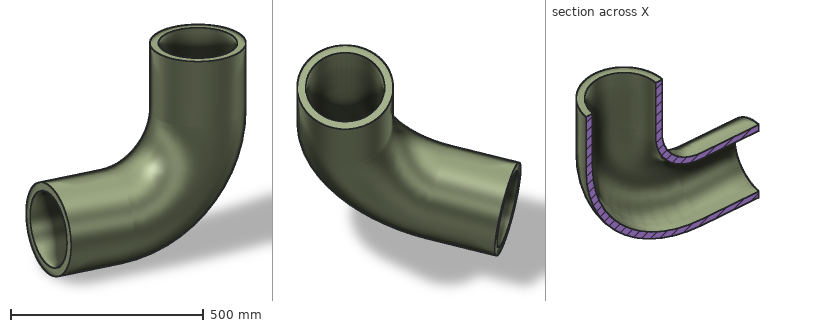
import cadquery as cq

overall_length = 565.0
outer_diameter = 250.5
inner_diameter = 205.0
bend_radius = 254.5

leg_length = overall_length - outer_diameter / 2 - bend_radius


def pipe_ring(workplane):
    """Draw the annular pipe section on a workplane."""
    return workplane.circle(outer_diameter / 2).circle(inner_diameter / 2)


upright_leg = pipe_ring(cq.Workplane("XY", origin=(0, 0, bend_radius))).extrude(leg_length)
level_leg = pipe_ring(cq.Workplane("XZ", origin=(0, -bend_radius, 0))).extrude(leg_length)

elbow = pipe_ring(cq.Workplane("XY", origin=(0, 0, bend_radius))).revolve(
    90, (5.5, -bend_radius), (0, -bend_radius)
)

result = upright_leg.union(elbow).union(level_leg)